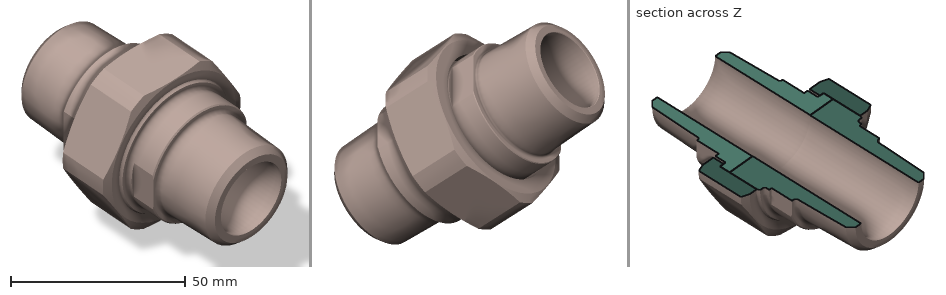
import cadquery as cq
import math

total_length = 80.0

thread_tip_radius = 16.3
thread_root_radius = 17.0
end_chamfer_length = 2.0
end_face_radius = 14.4

nut_start = 29.5
nut_end = 48.1
across_flats = 50.0
corner_diameter = 54.6
nut_face_radius = 24.7
nut_chamfer_length = 1.0
lip_thickness = 4.0
lip_bore_radius = 20.2
lip_end = nut_start + lip_thickness
nut_thread_radius = 21.8

left_collar_radius = 19.4
left_bore_radius = 24.2 / 2
left_bore_chamfer = 0.2
left_collar_start = 21.0
left_collar_chamfer = 0.2
left_fillet_radius = 0.5
left_thread_end = left_collar_start - left_fillet_radius
left_flat_width = 36.0
flange_thickness = 4.0
joint_x = lip_end + flange_thickness

right_collar_radius = 39.0 / 2
right_bore_radius = 24.0 / 2
right_shoulder_x = 49.0
shoulder_rim_radius = 21.4
shoulder_fillet_radius = 0.7
right_collar_end = 58.9
right_collar_chamfer = 0.4
right_fillet_radius = 1.0
right_thread_start = right_collar_end + right_fillet_radius
right_flat_start = 50.9
right_flat_width = 37.0


def revolve_about_x(profile):
    """Revolve a closed (x, radius) profile about the X axis."""
    return profile.close().revolve(360, (0, 0, 0), (1, 0, 0))


def cylinder_along_x(start, end, radius):
    return cq.Workplane("YZ", origin=(start, 0, 0)).circle(radius).extrude(end - start)


def cut_wrench_flats(body, start, end, collar_radius, flat_width):
    """Cut two opposite flats, facing -Y and +Y, over part of the length."""
    depth = collar_radius - flat_width / 2
    for side in (-1, 1):
        cutter = cq.Workplane("XY").box(end - start, depth, 2 * collar_radius).translate(
            ((start + end) / 2, side * (flat_width + depth) / 2, 0)
        )
        body = body.cut(cutter)
    return body


def make_left_end():
    profile = (
        cq.Workplane("XY")
        .moveTo(left_bore_chamfer, left_bore_radius)
        .lineTo(0, left_bore_radius + left_bore_chamfer)
        .lineTo(0, end_face_radius)
        .lineTo(end_chamfer_length, thread_tip_radius)
        .lineTo(left_thread_end, thread_root_radius)
        .tangentArcPoint((left_collar_start, thread_root_radius + left_fillet_radius), relative=False)
        .lineTo(left_collar_start, left_collar_radius - left_collar_chamfer)
        .lineTo(left_collar_start + left_collar_chamfer, left_collar_radius)
        .lineTo(lip_end, left_collar_radius)
        .lineTo(lip_end, nut_thread_radius)
        .lineTo(joint_x, nut_thread_radius)
        .lineTo(joint_x, left_bore_radius)
    )
    body = revolve_about_x(profile)
    return cut_wrench_flats(body, left_collar_start, nut_start, left_collar_radius, left_flat_width)


def make_right_end():
    profile = (
        cq.Workplane("XY")
        .moveTo(joint_x, right_bore_radius)
        .lineTo(joint_x, nut_thread_radius)
        .lineTo(nut_end, nut_thread_radius)
        .lineTo(right_shoulder_x, shoulder_rim_radius)
        .lineTo(right_shoulder_x, right_collar_radius + shoulder_fillet_radius)
        .tangentArcPoint((right_shoulder_x + shoulder_fillet_radius, right_collar_radius), relative=False)
        .lineTo(right_collar_end - right_collar_chamfer, right_collar_radius)
        .lineTo(right_collar_end, right_collar_radius - right_collar_chamfer)
        .lineTo(right_collar_end, thread_root_radius + right_fillet_radius)
        .tangentArcPoint((right_thread_start, thread_root_radius), relative=False)
        .lineTo(total_length - end_chamfer_length, thread_tip_radius)
        .lineTo(total_length, end_face_radius)
        .lineTo(total_length, right_bore_radius)
    )
    body = revolve_about_x(profile)
    return cut_wrench_flats(body, right_flat_start, right_collar_end, right_collar_radius, right_flat_width)


def make_nut():
    hexagon = (
        cq.Workplane("YZ", origin=(nut_start, 0, 0))
        .polygon(6, across_flats / math.cos(math.pi / 6))
        .extrude(nut_end - nut_start)
    )
    corner_radius = corner_diameter / 2
    blank = revolve_about_x(
        cq.Workplane("XY")
        .moveTo(nut_start, 0)
        .lineTo(nut_start, nut_face_radius)
        .lineTo(nut_start + nut_chamfer_length, corner_radius)
        .lineTo(nut_end - nut_chamfer_length, corner_radius)
        .lineTo(nut_end, nut_face_radius)
        .lineTo(nut_end, 0)
    )
    lip_bore = cylinder_along_x(nut_start, lip_end, lip_bore_radius)
    thread_bore = cylinder_along_x(lip_end, nut_end, nut_thread_radius)
    return hexagon.intersect(blank).cut(lip_bore).cut(thread_bore)


left_end = make_left_end()
right_end = make_right_end()
nut = make_nut()

result = cq.Compound.makeCompound([left_end.val(), right_end.val(), nut.val()])